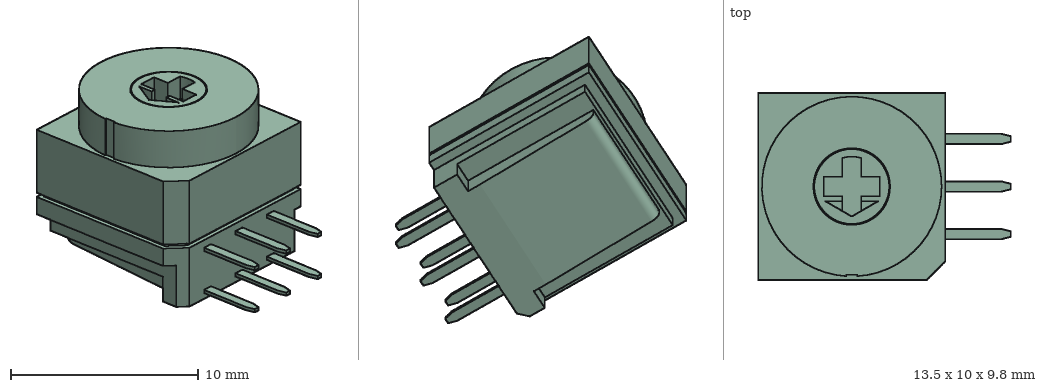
import cadquery as cq
import math

LEG_HEIGHT = 1.5
BASE_HEIGHT = 1.0
FLANGE_HEIGHT = 1.05
GROOVE_HEIGHT = 0.25
HOUSING_HEIGHT = 3.8
KNOB_HEIGHT = 2.2

BASE_Z = LEG_HEIGHT
FLANGE_Z = BASE_Z + BASE_HEIGHT
GROOVE_Z = FLANGE_Z + FLANGE_HEIGHT
HOUSING_Z = GROOVE_Z + GROOVE_HEIGHT
KNOB_Z = HOUSING_Z + HOUSING_HEIGHT
TOP_Z = KNOB_Z + KNOB_HEIGHT

BODY_SIZE = 10.0
BODY_HALF = BODY_SIZE / 2
CORNER_CHAMFER = 1.0
GROOVE_DEPTH = 0.28

BASE_SIDE_INSET = 0.5
BASE_HALF_WIDTH = BODY_HALF - BASE_SIDE_INSET
BASE_BACK_INSET = 0.55
BASE_BACK_X = BASE_BACK_INSET - BODY_HALF
LEG_LENGTH = 1.45
LEG_BACK_X = BODY_HALF - LEG_LENGTH

PAD_BACK_X = -4.28
PAD_WIDTH = 6.75
PAD_BACK_Z = 0.5
PAD_SLOPE_END_X = 2.8
PAD_FILLET = 0.5

PIN_PITCH = 2.54
PIN_WIDTH = 0.56
PIN_THICKNESS = 0.2
PIN_LENGTH = 3.5
PIN_TIP_LENGTH = 0.5
PIN_TIP_WIDTH = 0.3
PIN_LOWER_Z = 0.45
PIN_COLUMNS = (-PIN_PITCH, 0, PIN_PITCH)
PIN_ROWS = (PIN_LOWER_Z, PIN_LOWER_Z + PIN_PITCH)

KNOB_RADIUS = 4.8
NOTCH_WIDTH = 0.58
NOTCH_DEPTH = 0.1

ROTOR_DIAMETER = 4.0
ROTOR_BORE_DIAMETER = 4.1
SLOT_WIDTH = 1.04
SLOT_LENGTH = 3.0
SLOT_END_RADIUS = 1.6
SLOT_DEPTH = 1.34
ARROW_DEPTH = 1.0
ARROW_BACK_Y = -0.79
ARROW_HALF_ANGLE = 60.0


def housing_outline():
    """Square outline with the +X, -Y corner cut off."""
    return (
        cq.Workplane("XY")
        .moveTo(-BODY_HALF, -BODY_HALF)
        .lineTo(BODY_HALF - CORNER_CHAMFER, -BODY_HALF)
        .lineTo(BODY_HALF, CORNER_CHAMFER - BODY_HALF)
        .lineTo(BODY_HALF, BODY_HALF)
        .lineTo(-BODY_HALF, BODY_HALF)
        .close()
    )


def make_housing():
    """Housing and flange separated by a shallow groove all round."""
    flange = housing_outline().extrude(FLANGE_HEIGHT).translate((0, 0, FLANGE_Z))
    neck = housing_outline().offset2D(-GROOVE_DEPTH).extrude(GROOVE_HEIGHT).translate((0, 0, GROOVE_Z))
    housing = housing_outline().extrude(HOUSING_HEIGHT).translate((0, 0, HOUSING_Z))
    return flange.union(neck).union(housing)


def make_base():
    """Base plate and the leg under its pin side, trimmed by the corner chamfer."""
    base_profile = (
        cq.Workplane("XZ")
        .moveTo(BASE_BACK_X, FLANGE_Z)
        .lineTo(BASE_BACK_X, BASE_Z)
        .lineTo(LEG_BACK_X, BASE_Z)
        .lineTo(LEG_BACK_X, 0)
        .lineTo(BODY_HALF, 0)
        .lineTo(BODY_HALF, FLANGE_Z)
        .close()
    )
    base = base_profile.extrude(BASE_HALF_WIDTH, both=True)
    return base.intersect(housing_outline().extrude(FLANGE_Z))


def make_pad():
    """Pad whose underside slopes down to the leg, rounded at its back edge."""
    pad = (
        cq.Workplane("XZ")
        .moveTo(PAD_BACK_X, BASE_Z)
        .lineTo(PAD_BACK_X, PAD_BACK_Z)
        .lineTo(PAD_SLOPE_END_X, 0)
        .lineTo(LEG_BACK_X, 0)
        .lineTo(LEG_BACK_X, BASE_Z)
        .close()
        .extrude(PAD_WIDTH / 2, both=True)
    )
    return pad.edges("|Y and <X").edges("<Z").fillet(PAD_FILLET)


def make_pin(y, z):
    """Flat pin with a tapered tip, centred on the given y and z."""
    tip_x = BODY_HALF + PIN_LENGTH
    taper_x = tip_x - PIN_TIP_LENGTH
    return (
        cq.Workplane("XY")
        .moveTo(BODY_HALF, -PIN_WIDTH / 2)
        .lineTo(taper_x, -PIN_WIDTH / 2)
        .lineTo(tip_x, -PIN_TIP_WIDTH / 2)
        .lineTo(tip_x, PIN_TIP_WIDTH / 2)
        .lineTo(taper_x, PIN_WIDTH / 2)
        .lineTo(BODY_HALF, PIN_WIDTH / 2)
        .close()
        .extrude(PIN_THICKNESS / 2, both=True)
        .translate((0, y, z))
    )


def make_knob():
    """Round knob with an index notch on its -Y side."""
    knob = cq.Workplane("XY").circle(KNOB_RADIUS).extrude(KNOB_HEIGHT)
    notch = (
        cq.Workplane("XY")
        .center(0, -KNOB_RADIUS)
        .rect(NOTCH_WIDTH, 2 * NOTCH_DEPTH)
        .extrude(KNOB_HEIGHT)
    )
    return knob.cut(notch).translate((0, 0, KNOB_Z))


def make_arrow(depth):
    """Triangular cutter with its tip on the slot end radius at -Y."""
    half_width = (SLOT_END_RADIUS + ARROW_BACK_Y) * math.tan(math.radians(ARROW_HALF_ANGLE))
    return (
        cq.Workplane("XY")
        .workplane(offset=TOP_Z - depth)
        .moveTo(-half_width, ARROW_BACK_Y)
        .lineTo(half_width, ARROW_BACK_Y)
        .lineTo(0, -SLOT_END_RADIUS)
        .close()
        .extrude(depth)
    )


def make_recess():
    """Cross slot with a rounded +Y end, joined to the shallower arrow head."""
    floor = cq.Workplane("XY").workplane(offset=TOP_Z - SLOT_DEPTH)
    cross_arm = floor.rect(SLOT_LENGTH, SLOT_WIDTH).extrude(SLOT_DEPTH)
    upper_arm_length = SLOT_END_RADIUS - ARROW_BACK_Y
    upper_arm = (
        floor.center(0, ARROW_BACK_Y + upper_arm_length / 2)
        .rect(SLOT_WIDTH, upper_arm_length)
        .extrude(SLOT_DEPTH)
        .intersect(floor.circle(SLOT_END_RADIUS).extrude(SLOT_DEPTH))
    )
    lower_arm = make_arrow(SLOT_DEPTH).intersect(
        floor.rect(SLOT_WIDTH, 2 * SLOT_END_RADIUS).extrude(SLOT_DEPTH)
    )
    return cross_arm.union(upper_arm).union(lower_arm).union(make_arrow(ARROW_DEPTH))


def make_rotor_gap():
    """Thin ring-shaped gap round the rotor, as deep as the recess."""
    return (
        cq.Workplane("XY")
        .workplane(offset=TOP_Z - SLOT_DEPTH)
        .circle(ROTOR_BORE_DIAMETER / 2)
        .circle(ROTOR_DIAMETER / 2)
        .extrude(SLOT_DEPTH)
    )


result = make_housing().union(make_base()).union(make_pad()).union(make_knob())
for pin_y in PIN_COLUMNS:
    for pin_z in PIN_ROWS:
        result = result.union(make_pin(pin_y, pin_z))
result = result.cut(make_recess()).cut(make_rotor_gap())